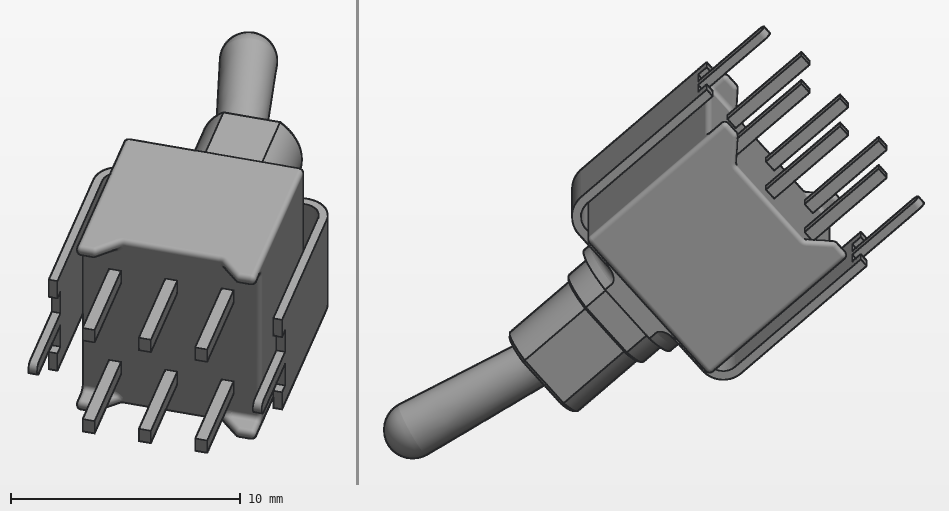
import cadquery as cq
import math


body_width = 8.1
body_height = 9.1
body_back = 11.42
body_floor = 4.3
body_round = 0.22
foot_end = 3.34
foot_thickness = 0.5
foot_tip_width = 0.85
foot_rise = body_floor - foot_end

bracket_span = 10.55
bracket_width = 5.0
bracket_thickness = 0.4
bracket_back = body_back + bracket_thickness
bend_radius = 1.19
notch_bottom = 3.83
tab_end = foot_end
tab_width = 0.96
tongue_width = 0.67

collar_radius = 2.9
collar_top = 12.6
collar_fillet = 0.4
base_diameter = 5.0
base_across_flats = 4.2
base_top = 13.89
base_chamfer = 0.07
bushing_diameter = 4.55
bushing_across_flats = 3.75
bushing_top = 17.55
bushing_chamfer = 0.12

total_length = 24.7
lever_tilt = 11.8
lever_root_radius = 1.0
ball_radius = 1.25
ball_center_y = total_length - ball_radius
pivot_y = 14.73

terminal_width = 0.55
terminal_height = 0.7
column_pitch = 2.55
row_pitch = 5.07
terminal_embed = 0.5


def box_between(x_range, y_range, z_range):
    """Block spanning the given (low, high) pairs."""
    corners = (x_range, y_range, z_range)
    sizes = [high - low for low, high in corners]
    lows = tuple(low for low, high in corners)
    return cq.Workplane("XY").box(*sizes, centered=False).translate(lows)


def make_housing():
    """Rounded block with four tapered feet at the corners of its front face."""
    half_width = body_width / 2
    half_height = body_height / 2
    foot_inner_tip = half_width - foot_tip_width
    foot_inner_root = foot_inner_tip - foot_rise
    housing = (
        cq.Workplane("XY", origin=(0, 0, -half_height))
        .polyline([
            (-half_width, body_back),
            (-half_width, foot_end),
            (-foot_inner_tip, foot_end),
            (-foot_inner_root, body_floor),
            (foot_inner_root, body_floor),
            (foot_inner_tip, foot_end),
            (half_width, foot_end),
            (half_width, body_back),
        ])
        .close()
        .extrude(body_height)
    )
    channel_half = half_height - foot_thickness
    channel = box_between(
        (-half_width, half_width), (foot_end, body_floor), (-channel_half, channel_half)
    )
    return housing.cut(channel).edges().fillet(body_round)


def make_bracket():
    """U-shaped strap whose legs end in two tabs and a round-ended tongue."""
    half_span = bracket_span / 2
    half_inner = half_span - bracket_thickness
    half_width = bracket_width / 2
    half_tongue = tongue_width / 2

    outside = box_between((-half_span, half_span), (0, bracket_back), (-half_width, half_width))
    outside = outside.edges(">Y and |Z").fillet(bend_radius)
    inside = box_between((-half_inner, half_inner), (0, body_back), (-half_width, half_width))
    inside = inside.edges(">Y and |Z").fillet(bend_radius - bracket_thickness)

    leg_profile = (
        cq.Workplane("YZ", origin=(-half_span, 0, 0))
        .moveTo(half_tongue, half_tongue)
        .threePointArc((0, 0), (half_tongue, -half_tongue))
        .lineTo(notch_bottom, -half_tongue)
        .lineTo(notch_bottom, tab_width - half_width)
        .lineTo(tab_end, tab_width - half_width)
        .lineTo(tab_end, -half_width)
        .lineTo(bracket_back, -half_width)
        .lineTo(bracket_back, half_width)
        .lineTo(tab_end, half_width)
        .lineTo(tab_end, half_width - tab_width)
        .lineTo(notch_bottom, half_width - tab_width)
        .lineTo(notch_bottom, half_tongue)
        .close()
        .extrude(bracket_span)
    )
    return outside.cut(inside).intersect(leg_profile)


def make_collar():
    """Round collar flaring into the bracket, trimmed to the bracket width."""
    flare_radius = collar_radius + collar_fillet
    flare_top = bracket_back + collar_fillet
    arc_inset = collar_fillet * math.sqrt(0.5)
    collar = (
        cq.Workplane("XY")
        .moveTo(0, body_back)
        .lineTo(flare_radius, body_back)
        .lineTo(flare_radius, bracket_back)
        .threePointArc((flare_radius - arc_inset, flare_top - arc_inset), (collar_radius, flare_top))
        .lineTo(collar_radius, collar_top)
        .lineTo(0, collar_top)
        .close()
        .revolve(360, (0, 0, 0), (0, 1, 0))
    )
    trim = box_between(
        (-flare_radius, flare_radius),
        (body_back, collar_top),
        (-bracket_width / 2, bracket_width / 2),
    )
    return collar.intersect(trim)


def make_flatted_cylinder(diameter, across_flats, bottom, top, chamfer):
    """Cylinder along Y with two flats facing +Z and -Z and a chamfered top rim."""
    radius = diameter / 2
    cylinder = cq.Workplane("XZ", origin=(0, top, 0)).circle(radius).extrude(top - bottom)
    trim = box_between((-radius, radius), (bottom, top), (-across_flats / 2, across_flats / 2))
    return cylinder.intersect(trim).faces(">Y").edges().chamfer(chamfer)


def make_lever():
    """Ball-ended cone along Y, tilted towards -X about its pivot."""
    length = (ball_center_y - pivot_y) / math.cos(math.radians(lever_tilt))
    arc_offset = ball_radius * math.sqrt(0.5)
    lever = (
        cq.Workplane("XY")
        .lineTo(lever_root_radius, 0)
        .lineTo(ball_radius, length)
        .threePointArc((arc_offset, length + arc_offset), (0, length + ball_radius))
        .close()
        .revolve(360, (0, 0, 0), (0, 1, 0))
    )
    return lever.rotate((0, 0, 0), (0, 0, 1), lever_tilt).translate((0, pivot_y, 0))


def make_terminals():
    """Rectangular pins reaching from inside the housing to Y = 0."""
    return (
        cq.Workplane("XZ")
        .rarray(column_pitch, row_pitch, 3, 2)
        .rect(terminal_width, terminal_height)
        .extrude(-(body_floor + terminal_embed))
    )


base = make_flatted_cylinder(
    base_diameter, base_across_flats, collar_top, base_top, base_chamfer
)
bushing = make_flatted_cylinder(
    bushing_diameter, bushing_across_flats, base_top, bushing_top, bushing_chamfer
)

result = make_housing()
for piece in (make_bracket(), make_collar(), base, bushing, make_lever(), make_terminals()):
    result = result.union(piece)